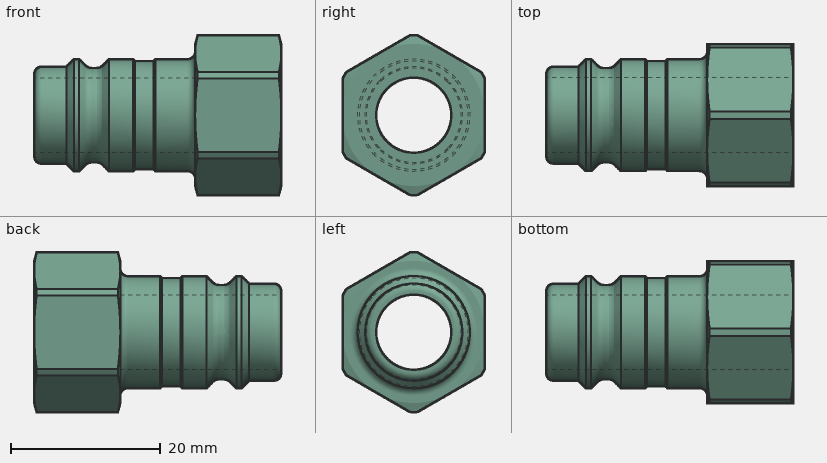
import cadquery as cq
import math

TOTAL_LENGTH = 33.0
BORE_DIAMETER = 10.0

TIP_DIAMETER = 13.0
BODY_DIAMETER = 15.0
GROOVE_DIAMETER = 12.65
BAND_DIAMETER = 14.5

COLLAR_CONE_START = 4.3
COLLAR_END = 6.0
BODY_START = 10.0
BAND_START = 13.2
BAND_END = 16.2
HEX_START = 21.5

TIP_ROUND = 1.0
GROOVE_ROUND = 1.0
SHOULDER_FILLET = 1.0

HEX_ACROSS_FLATS = 19.0
HEX_CORNER_DIAMETER = 21.4
HEX_CHAMFER_ANGLE = 15.0


def along_axis(points):
    """Revolve a closed (axial position, radius) outline about the X axis."""
    return cq.Workplane("XY").polyline(points).close().revolve(360, (0, 0), (1, 0))


def edges_at(x, diameter):
    """Selector box holding only the circular edge at this axial position."""
    margin = 0.05
    reach = diameter / 2 + margin
    return cq.selectors.BoxSelector(
        (x - margin, -reach, -reach),
        (x + margin, reach, reach),
        boundingbox=True,
    )


def make_nipple():
    """Turned body whose collar, groove and band flanks are all 45 degree cones."""
    tip = TIP_DIAMETER / 2
    body = BODY_DIAMETER / 2
    groove = GROOVE_DIAMETER / 2
    band = BAND_DIAMETER / 2
    groove_depth = body - groove
    band_depth = body - band
    groove_start = COLLAR_END + groove_depth
    groove_end = BODY_START - groove_depth

    nipple = along_axis([
        (0, 0),
        (0, tip),
        (COLLAR_CONE_START, tip),
        (COLLAR_CONE_START + body - tip, body),
        (COLLAR_END, body),
        (groove_start, groove),
        (groove_end, groove),
        (BODY_START, body),
        (BAND_START, body),
        (BAND_START + band_depth, band),
        (BAND_END - band_depth, band),
        (BAND_END, body),
        (HEX_START, body),
        (HEX_START, 0),
    ])
    nipple = nipple.edges(edges_at(0, TIP_DIAMETER)).fillet(TIP_ROUND)
    for position in (groove_start, groove_end):
        nipple = nipple.edges(edges_at(position, GROOVE_DIAMETER)).fillet(GROOVE_ROUND)
    return nipple


def make_hexagon():
    """Hexagonal prism with corners on the Z axis, trimmed by a chamfered cylinder."""
    flat = HEX_ACROSS_FLATS / 2
    corner = HEX_CORNER_DIAMETER / 2
    chamfer_length = (corner - flat) * math.tan(math.radians(HEX_CHAMFER_ANGLE))

    prism = (
        cq.Workplane("YZ", origin=(HEX_START, 0, 0))
        .polygon(6, HEX_ACROSS_FLATS, circumscribed=True)
        .extrude(TOTAL_LENGTH - HEX_START)
    )
    trim = along_axis([
        (HEX_START, 0),
        (HEX_START, flat),
        (HEX_START + chamfer_length, corner),
        (TOTAL_LENGTH - chamfer_length, corner),
        (TOTAL_LENGTH, flat),
        (TOTAL_LENGTH, 0),
    ])
    return prism.intersect(trim)


def make_shoulder():
    """Concave fillet ring where the nipple meets the hexagon face."""
    body = BODY_DIAMETER / 2
    start = HEX_START - SHOULDER_FILLET
    sag = SHOULDER_FILLET * math.sqrt(0.5)
    return (
        cq.Workplane("XY")
        .moveTo(start, 0)
        .lineTo(start, body)
        .threePointArc(
            (start + sag, body + SHOULDER_FILLET - sag),
            (HEX_START, body + SHOULDER_FILLET),
        )
        .lineTo(HEX_START, 0)
        .close()
        .revolve(360, (0, 0), (1, 0))
    )


def make_bore():
    """Through bore along the full length."""
    return cq.Workplane("YZ").circle(BORE_DIAMETER / 2).extrude(TOTAL_LENGTH)


result = make_nipple().union(make_shoulder()).union(make_hexagon()).cut(make_bore())